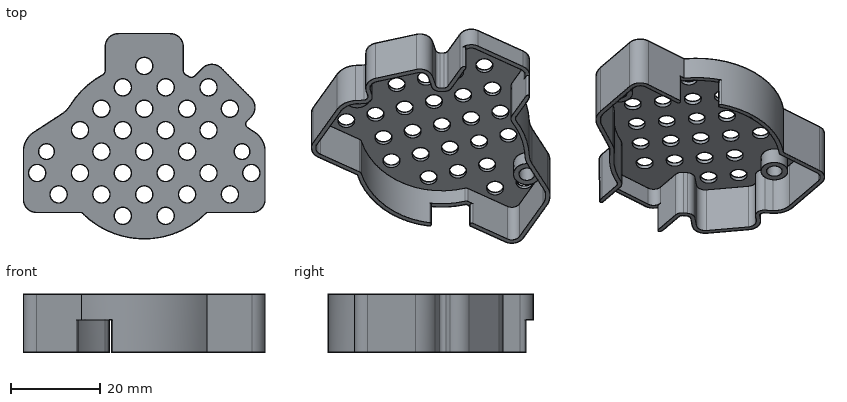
import cadquery as cq
import math

HEIGHT = 13.0
WALL = 1.0
CAVITY_HEIGHT = HEIGHT - WALL

DISK_RADIUS = 19.6

HALF_WIDTH = 27.15
BASE_FRONT = -13.7
SHOULDER_RADIUS = 5.2
SHOULDER_X = HALF_WIDTH - SHOULDER_RADIUS
SHOULDER_SLOPE = math.radians(33)

TOWER_HALF_WIDTH = 8.8
TOWER_BACK = 26.5

EAR_ANGLE = 45
EAR_REACH = 25.45
EAR_LEFT = 4.0
EAR_RIGHT = -11.45

CORNER_RADIUS = 3.0
NECK_RADIUS = 1.0
HIP_RADIUS = 5.95

VENT_DIAMETER = 3.8
VENT_PITCH = 9.6
VENT_STEP = VENT_PITCH / 2
VENT_ROWS = (
    (-3, (-1, 1)),
    (-2, (-4, -2, 0, 2, 4)),
    (-1, (-5, -3, -1, 1, 3, 5)),
    (0, (-2, 0, 2)),
    (1, (-3, -1, 1, 3)),
    (2, (-2, 0, 2, 4)),
    (3, (-1, 1, 3)),
    (4, (0,)),
)

POST_DIAMETER = 5.95
POST_DEPTH = 5.0
SCREW_DIAMETER = 3.5

OPENING_HEIGHT = 7.25
FRONT_OPENING_LEFT = -14.8
FRONT_OPENING_RIGHT = -7.3
OPENING_EDGE_RADIUS = 0.4


def rectangle(left, right, front, back, height):
    return (
        cq.Workplane("XY")
        .moveTo((left + right) / 2, (front + back) / 2)
        .rect(right - left, back - front)
        .extrude(height)
    )


def slope_height(x):
    """Height in Y of the right shoulder slope at a given X; the left slope mirrors it."""
    foot = SHOULDER_RADIUS / math.cos(SHOULDER_SLOPE)
    return foot + (SHOULDER_X - x) * math.tan(SHOULDER_SLOPE)


def base_block():
    """Full-width block whose sloped shoulders run into the disk."""
    r = SHOULDER_RADIUS
    touch_x = SHOULDER_X + r * math.sin(SHOULDER_SLOPE)
    touch_y = r * math.cos(SHOULDER_SLOPE)
    half_angle = (math.pi / 2 - SHOULDER_SLOPE) / 2
    mid_x = SHOULDER_X + r * math.cos(half_angle)
    mid_y = r * math.sin(half_angle)
    top_x = TOWER_HALF_WIDTH
    top_y = slope_height(top_x)
    return (
        cq.Workplane("XY")
        .moveTo(-HALF_WIDTH, BASE_FRONT)
        .lineTo(-HALF_WIDTH, 0)
        .threePointArc((-mid_x, mid_y), (-touch_x, touch_y))
        .lineTo(-top_x, top_y)
        .lineTo(top_x, top_y)
        .lineTo(touch_x, touch_y)
        .threePointArc((mid_x, mid_y), (HALF_WIDTH, 0))
        .lineTo(HALF_WIDTH, BASE_FRONT)
        .close()
        .extrude(HEIGHT)
        .edges("|Z and <Y")
        .fillet(CORNER_RADIUS)
    )


def tower():
    block = rectangle(-TOWER_HALF_WIDTH, TOWER_HALF_WIDTH, 0, TOWER_BACK, HEIGHT)
    return block.edges("|Z and >Y").fillet(CORNER_RADIUS)


def ear():
    block = rectangle(0, EAR_REACH, EAR_RIGHT, EAR_LEFT, HEIGHT)
    block = block.edges("|Z and >X").fillet(CORNER_RADIUS)
    return block.rotate((0, 0, 0), (0, 0, 1), EAR_ANGLE)


def upright_edge(x, y):
    """Selector for the full-height edge at a point of the outline."""
    reach = 0.15
    return cq.selectors.BoxSelector((x - reach, y - reach, 0), (x + reach, y + reach, HEIGHT))


def round_inner_corners(body):
    """Round the concave corners where the tower, ear and shoulders meet the disk."""
    side = TOWER_HALF_WIDTH
    tower_y = math.sqrt(DISK_RADIUS**2 - side**2)

    slope_distance = SHOULDER_X * math.sin(SHOULDER_SLOPE) + SHOULDER_RADIUS
    hip_turn = SHOULDER_SLOPE + math.acos(slope_distance / DISK_RADIUS)
    hip = (-DISK_RADIUS * math.sin(hip_turn), DISK_RADIUS * math.cos(hip_turn))

    ear_angle = math.radians(EAR_ANGLE)
    ear_turn = ear_angle + math.asin(EAR_LEFT / DISK_RADIUS)
    ear_left = (DISK_RADIUS * math.cos(ear_turn), DISK_RADIUS * math.sin(ear_turn))

    drop = -EAR_RIGHT / math.cos(ear_angle)
    ear_right_x = (slope_height(0) + drop) / (math.tan(ear_angle) + math.tan(SHOULDER_SLOPE))
    ear_right = (ear_right_x, slope_height(ear_right_x))

    necks = ((-side, tower_y), (side, tower_y), ear_left, ear_right)
    for x, y in necks:
        body = body.edges(upright_edge(x, y)).fillet(NECK_RADIUS)
    return body.edges(upright_edge(*hip)).fillet(HIP_RADIUS)


def outer_body():
    body = cq.Workplane("XY").circle(DISK_RADIUS).extrude(HEIGHT)
    body = body.union(base_block()).union(tower()).union(ear())
    return round_inner_corners(body)


def cavity(body):
    """Interior space: the outline moved inward by the wall thickness."""
    outline = body.faces("<Z").wires().val()
    return cq.Workplane(outline.offset2D(-WALL)[0]).toPending().extrude(CAVITY_HEIGHT)


def cut_openings(shell):
    """Cut a doorway in the front left wall and open the tower's back, then round the cut wall ends."""
    front = rectangle(
        FRONT_OPENING_LEFT, FRONT_OPENING_RIGHT, -DISK_RADIUS, BASE_FRONT + 2 * WALL, OPENING_HEIGHT
    )
    tower_inside = TOWER_HALF_WIDTH - WALL
    back = rectangle(
        -tower_inside, tower_inside, TOWER_BACK - 2 * CORNER_RADIUS, TOWER_BACK, OPENING_HEIGHT
    )
    shell = shell.cut(front).cut(back)

    low_zone = cq.selectors.BoxSelector(
        (-HALF_WIDTH, -HALF_WIDTH, -WALL), (HALF_WIDTH, HALF_WIDTH, OPENING_HEIGHT + WALL), boundingbox=True
    )
    return shell.edges(low_zone).edges("|Z").fillet(OPENING_EDGE_RADIUS)


def upright_cylinders(centres, diameter, bottom):
    """Cylinders from a given level up to the top face."""
    return (
        cq.Workplane("XY")
        .workplane(offset=bottom)
        .pushPoints(centres)
        .circle(diameter / 2)
        .extrude(HEIGHT - bottom)
    )


post_centres = [(-SHOULDER_X, 0), (SHOULDER_X, 0)]
vent_centres = [(column * VENT_STEP, row * VENT_STEP) for row, columns in VENT_ROWS for column in columns]

body = outer_body()
shell = cut_openings(body.cut(cavity(body)))
shell = shell.union(upright_cylinders(post_centres, POST_DIAMETER, HEIGHT - POST_DEPTH))
shell = shell.cut(upright_cylinders(vent_centres, VENT_DIAMETER, CAVITY_HEIGHT))
result = shell.cut(upright_cylinders(post_centres, SCREW_DIAMETER, 0))